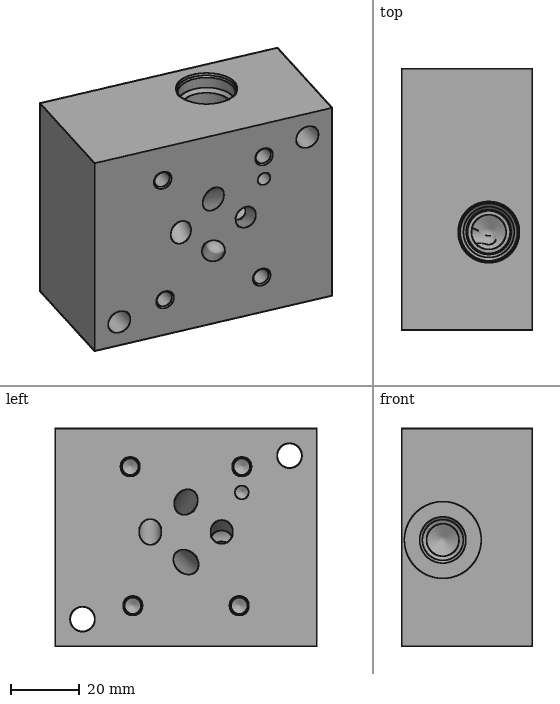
import cadquery as cq
import math

WIDTH = 38.1
LENGTH = 76.2
HEIGHT = 63.5

DRILL_POINT_ANGLE = 118.0

CLEARANCE_DIAMETER = 7.14
CLEARANCE_INSET = 7.94

PATTERN_Y = 53.6
PATTERN_Z = 11.86
BOLT_POINTS = [(0.0, 0.0), (0.0, 31.0), (40.5, -0.75), (40.5, 31.75)]
BOLT_DRILL_DIAMETER = 4.8
BOLT_MOUTH_DIAMETER = 5.7
BOLT_DEPTH = 12.0

PIN_POINT = (33.0, 31.75)
PIN_DIAMETER = 4.0
PIN_DEPTH = 6.0

PASSAGE_DIAMETER = 6.5
PASSAGE_OVERRUN = 4.0
PASSAGES = [
    ((21.5, 25.9), 20.5, -90.0, 27.1),
    ((21.5, 5.1), 30.0, 90.0, 20.0),
    ((12.7, 15.5), 36.0, -137.0, 20.0),
    ((30.2, 15.5), 33.0, -60.0, 20.0),
]

PORT_X = 12.0
PORT_Z = 31.0
PORT_SPOTFACE_DIAMETER = 22.4
PORT_SPOTFACE_DEPTH = 0.75
PORT_MOUTH_DIAMETER = 13.5
PORT_BORE_DIAMETER = 11.9
PORT_BORE_DEPTH = 15.0
PORT_PILOT_DIAMETER = 9.45
PORT_PILOT_DEPTH = 33.0

CAVITY_X = 25.4
CAVITY_Y = 28.58
CAVITY_DRILL_DIAMETER = 10.1
CAVITY_DRILL_DEPTH = 40.5
CAVITY_STEPS = [
    (17.9, 0.0),
    (17.5, 0.7),
    (16.7, 1.2),
    (16.7, 4.6),
    (14.8, 5.8),
    (14.8, 19.0),
    (13.1, 20.5),
    (12.4, 30.0),
]


def tip_height(diameter):
    """Height of the conical point left by a drill of this diameter."""
    return diameter / 2 / math.tan(math.radians(DRILL_POINT_ANGLE / 2))


def turned_cutter(profile, origin, direction):
    """Turned solid from (diameter, depth) pairs along direction, ending in a drill point."""
    last_diameter, last_depth = profile[-1]
    points = [(0.0, profile[0][1])]
    points += [(diameter / 2, depth) for diameter, depth in profile]
    points.append((0.0, last_depth + tip_height(last_diameter)))
    solid = cq.Workplane("XZ").polyline(points).close().revolve(360, (0, 0), (0, 1))
    return solid.val().moved(cq.Location(cq.Plane(origin=origin, normal=direction)))


def valve_face_point(pattern_point):
    u, v = pattern_point
    return (0.0, PATTERN_Y - v, PATTERN_Z + u)


def valve_face_hole(pattern_point, profile):
    return turned_cutter(profile, valve_face_point(pattern_point), (1, 0, 0))


def clearance_holes():
    centers = [
        (CLEARANCE_INSET, HEIGHT - CLEARANCE_INSET),
        (LENGTH - CLEARANCE_INSET, CLEARANCE_INSET),
    ]
    return cq.Workplane("YZ").pushPoints(centers).circle(CLEARANCE_DIAMETER / 2).extrude(WIDTH)


def bolt_holes():
    chamfer = (BOLT_MOUTH_DIAMETER - BOLT_DRILL_DIAMETER) / 2
    profile = [
        (BOLT_MOUTH_DIAMETER, 0.0),
        (BOLT_DRILL_DIAMETER, chamfer),
        (BOLT_DRILL_DIAMETER, BOLT_DEPTH),
    ]
    return [valve_face_hole(point, profile) for point in BOLT_POINTS]


def pin_hole():
    return valve_face_hole(PIN_POINT, [(PIN_DIAMETER, 0.0), (PIN_DIAMETER, PIN_DEPTH)])


def angled_passage(pattern_point, tilt, heading, length):
    """Round passage with a ball end, centred on the pattern point at the valve face."""
    tilt = math.radians(tilt)
    heading = math.radians(heading)
    direction = cq.Vector(
        math.cos(tilt),
        math.sin(tilt) * math.cos(heading),
        math.sin(tilt) * math.sin(heading),
    )
    entry = cq.Vector(*valve_face_point(pattern_point))
    start = entry - direction * PASSAGE_OVERRUN
    end = entry + direction * length
    radius = PASSAGE_DIAMETER / 2
    bore = cq.Solid.makeCylinder(radius, length + PASSAGE_OVERRUN, start, direction)
    ball = cq.Workplane("XY").sphere(radius).translate(end)
    return cq.Workplane(bore).union(ball)


def side_port():
    chamfer = (PORT_MOUTH_DIAMETER - PORT_BORE_DIAMETER) / 2
    bore_point = tip_height(PORT_BORE_DIAMETER) - tip_height(PORT_PILOT_DIAMETER)
    profile = [
        (PORT_SPOTFACE_DIAMETER, 0.0),
        (PORT_SPOTFACE_DIAMETER, PORT_SPOTFACE_DEPTH),
        (PORT_MOUTH_DIAMETER, PORT_SPOTFACE_DEPTH),
        (PORT_BORE_DIAMETER, PORT_SPOTFACE_DEPTH + chamfer),
        (PORT_BORE_DIAMETER, PORT_BORE_DEPTH),
        (PORT_PILOT_DIAMETER, PORT_BORE_DEPTH + bore_point),
        (PORT_PILOT_DIAMETER, PORT_PILOT_DEPTH),
    ]
    return turned_cutter(profile, (PORT_X, 0.0, PORT_Z), (0, 1, 0))


def cartridge_cavity():
    shoulder_depth = CAVITY_STEPS[-1][1]
    drill = [
        (CAVITY_DRILL_DIAMETER, shoulder_depth),
        (CAVITY_DRILL_DIAMETER, CAVITY_DRILL_DEPTH),
    ]
    return turned_cutter(CAVITY_STEPS + drill, (CAVITY_X, CAVITY_Y, HEIGHT), (0, 0, -1))


result = cq.Workplane("XY").box(WIDTH, LENGTH, HEIGHT, centered=False)
result = result.cut(clearance_holes())
for hole in bolt_holes():
    result = result.cut(cq.Workplane(hole))
result = result.cut(cq.Workplane(pin_hole()))
result = result.cut(cq.Workplane(side_port()))
result = result.cut(cq.Workplane(cartridge_cavity()))
for passage in PASSAGES:
    result = result.cut(angled_passage(*passage))